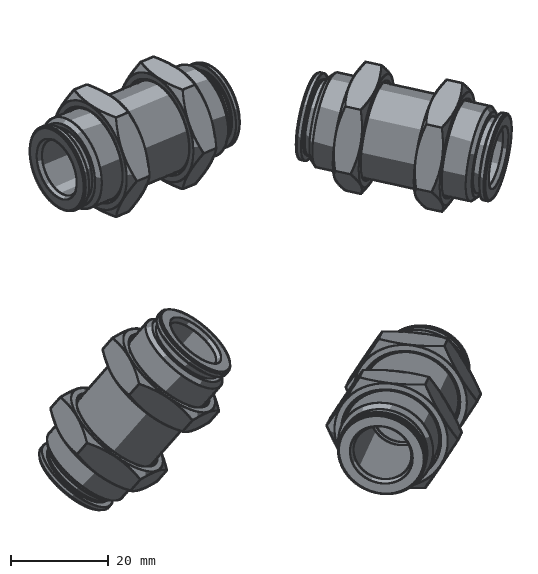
import cadquery as cq
import math

length = 40.8
half_length = length / 2

body_radius = 10.0
body_chamfer = 0.98
flange_radius = 9.22
flange_bevel_radial = 0.3
flange_bevel_axial = 0.33
neck_radius = 8.1
undercut_radius = 7.9
flange_thickness = 1.22
undercut_end = 1.65
body_inset = 2.95

collar_bore_radius = 6.1
mouth_radius = 6.6
mouth_chamfer_depth = 0.98
bore_radius = 5.5
collar_bore_depth = 16.32
bore_taper_length = 0.33

nut_across_flats = 24.0
nut_thickness = 5.6
nut_inset = 8.9
nut_face_radius = 11.9
nut_chamfer_angle = 30.0
nut_countersink_radius = 10.53
nut_corner_radius = nut_across_flats / math.sqrt(3)


def revolve_about_y(points):
    """Revolve a closed (radius, y) outline around the Y axis."""
    return cq.Workplane("XY").polyline(points).close().revolve(360, (0, 0, 0), (0, 1, 0))


def make_half_sleeve():
    """Solid of the -Y half of the sleeve and its collar."""
    body_end = -half_length + body_inset
    undercut_y = -half_length + undercut_end
    flange_back = -half_length + flange_thickness
    return revolve_about_y([
        (0, 0),
        (body_radius, 0),
        (body_radius, body_end + body_chamfer),
        (body_radius - body_chamfer, body_end),
        (neck_radius, body_end),
        (neck_radius, undercut_y),
        (undercut_radius, undercut_y),
        (undercut_radius, flange_back),
        (flange_radius, flange_back),
        (flange_radius, -half_length + flange_bevel_axial),
        (flange_radius - flange_bevel_radial, -half_length),
        (0, -half_length),
    ])


def make_half_bore():
    """Void of the -Y half of the bore, with its chamfered mouth."""
    step_y = -half_length + collar_bore_depth
    return revolve_about_y([
        (0, 0),
        (bore_radius, 0),
        (bore_radius, step_y + bore_taper_length),
        (collar_bore_radius, step_y),
        (collar_bore_radius, -half_length + mouth_chamfer_depth),
        (mouth_radius, -half_length),
        (0, -half_length),
    ])


def make_nut():
    """Nut on the -Y half, corners turned to a cone and the thread countersunk."""
    front = -half_length + nut_inset
    back = front + nut_thickness
    corner_drop = (nut_corner_radius - nut_face_radius) * math.tan(math.radians(nut_chamfer_angle))
    countersink_depth = nut_countersink_radius - body_radius
    hexagon = (
        cq.Workplane("XZ", origin=(0, back, 0))
        .polygon(6, 2 * nut_corner_radius)
        .extrude(nut_thickness)
    )
    turned_profile = revolve_about_y([
        (body_radius, front + countersink_depth),
        (nut_countersink_radius, front),
        (nut_face_radius, front),
        (nut_corner_radius, front + corner_drop),
        (nut_corner_radius, back - corner_drop),
        (nut_face_radius, back),
        (nut_countersink_radius, back),
        (body_radius, back - countersink_depth),
    ])
    return hexagon.intersect(turned_profile)


half_union = make_half_sleeve().union(make_nut()).cut(make_half_bore())
result = half_union.union(half_union.mirror("XZ"))